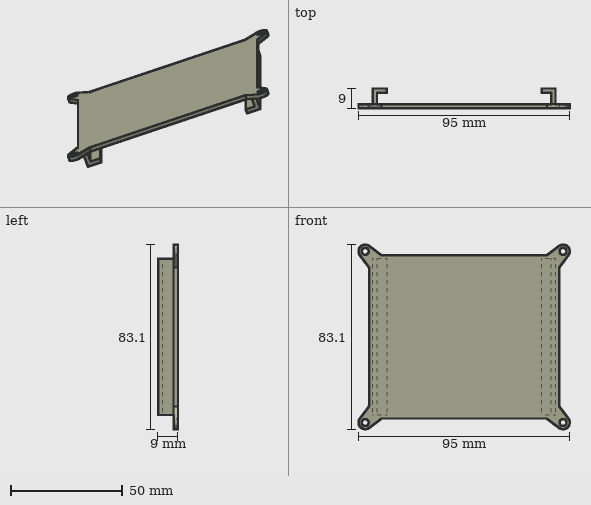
import cadquery as cq
import math

overall_width = 95.0
overall_height = 83.1
overall_depth = 9.0

ear_overhang = 4.75
plate_width = overall_width - 2 * ear_overhang
plate_height = overall_height - 2 * ear_overhang
plate_thickness = 2.0

ear_radius = 3.0
ear_root = 5.6
hole_diameter = 3.0

rail_length = 70.3
rail_span = 82.3
rail_thickness = 2.0
rail_lip = 6.4

hole_x = overall_width / 2 - ear_radius
hole_z = overall_height / 2 - ear_radius


def make_ear():
    """Upper right ear: a round end with two flanks running tangent from it to the plate edges."""
    root_dx = plate_width / 2 - ear_root - hole_x
    root_dz = plate_height / 2 - hole_z
    root_distance = math.hypot(root_dx, root_dz)
    tangent_angle = math.atan2(root_dz, root_dx) - math.acos(ear_radius / root_distance)
    upper_x = ear_radius * math.cos(tangent_angle)
    upper_z = ear_radius * math.sin(tangent_angle)
    tip = ear_radius * math.sqrt(0.5)
    return (
        cq.Workplane("XZ")
        .moveTo(plate_width / 2 - ear_root, plate_height / 2 - ear_root)
        .lineTo(hole_x + root_dx, hole_z + root_dz)
        .lineTo(hole_x + upper_x, hole_z + upper_z)
        .threePointArc((hole_x + tip, hole_z + tip), (hole_x + upper_z, hole_z + upper_x))
        .lineTo(hole_x + root_dz, hole_z + root_dx)
        .close()
        .extrude(-plate_thickness)
    )


def make_plate():
    plate = cq.Workplane("XZ").rect(plate_width, plate_height).extrude(-plate_thickness)
    right_ears = make_ear().union(make_ear().mirror("XY"))
    plate = plate.union(right_ears).union(right_ears.mirror("YZ"))
    holes = (
        cq.Workplane("XZ")
        .rect(2 * hole_x, 2 * hole_z, forConstruction=True)
        .vertices()
        .circle(hole_diameter / 2)
        .extrude(-plate_thickness)
    )
    return plate.cut(holes)


def make_rail():
    """Right rail, with its lip turned inwards."""
    outer_x = rail_span / 2
    wall_x = outer_x - rail_thickness
    lip_x = outer_x - rail_lip
    lip_y = overall_depth - rail_thickness
    return (
        cq.Workplane("XY")
        .polyline([
            (outer_x, plate_thickness),
            (outer_x, overall_depth),
            (lip_x, overall_depth),
            (lip_x, lip_y),
            (wall_x, lip_y),
            (wall_x, plate_thickness),
        ])
        .close()
        .extrude(rail_length / 2, both=True)
    )


rail = make_rail()
result = make_plate().union(rail).union(rail.mirror("YZ"))